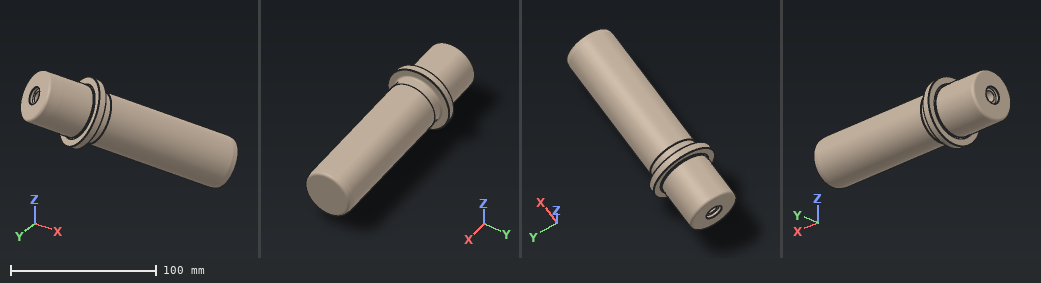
import cadquery as cq
import math

length = 157.0
shaft_radius = 19.2
end_radius = 2.0
lead_length = 10.0
lead_taper = 0.08

flange_start = 36.9
flange_width = 6.0
flange_diameter = 51.0
flange_radius = flange_diameter / 2
flange_chamfer = 0.5

undercut_length = 1.0
undercut_slope_length = 0.5
undercut_depth = 0.4
undercut_face_depth = 0.3
undercut_face_radius = 20.1

neck_radius = 18.7
neck_end = 51.2
neck_taper_length = 0.5
neck_fillet = 1.7

tip_length = 5.2
tip_radius = 18.7
tip_rounding = 2.4

recess_radius = 6.6
recess_chamfer = 0.5
recess_depth = 2.7
bore_radius = 4.1
bore_depth = 15.7
drill_point_angle = 120.0


def make_shaft():
    """Revolve the stepped outer profile about the X axis."""
    lead_radius = shaft_radius - lead_taper
    flange_end = flange_start + flange_width
    undercut_start = flange_start - undercut_length
    undercut_radius = shaft_radius - undercut_depth
    undercut_end = flange_start + undercut_face_depth
    tip_start = length - tip_length
    diagonal = math.sqrt(0.5)
    profile = (
        cq.Workplane("XY")
        .lineTo(0, lead_radius - end_radius)
        .threePointArc(
            (end_radius * (1 - diagonal), lead_radius - end_radius * (1 - diagonal)),
            (end_radius, lead_radius),
        )
        .lineTo(lead_length, shaft_radius)
        .lineTo(undercut_start, shaft_radius)
        .lineTo(undercut_start + undercut_slope_length, undercut_radius)
        .lineTo(undercut_end, undercut_radius)
        .lineTo(undercut_end, undercut_face_radius - undercut_face_depth)
        .lineTo(flange_start, undercut_face_radius)
        .lineTo(flange_start, flange_radius - flange_chamfer)
        .lineTo(flange_start + flange_chamfer, flange_radius)
        .lineTo(flange_end - flange_chamfer, flange_radius)
        .lineTo(flange_end, flange_radius - flange_chamfer)
        .lineTo(flange_end, neck_radius + neck_fillet)
        .threePointArc(
            (flange_end + neck_fillet * (1 - diagonal), neck_radius + neck_fillet * (1 - diagonal)),
            (flange_end + neck_fillet, neck_radius),
        )
        .lineTo(neck_end - neck_taper_length, neck_radius)
        .lineTo(neck_end, shaft_radius)
        .lineTo(tip_start, shaft_radius)
        .lineTo(length - tip_rounding, tip_radius)
        .threePointArc(
            (length - tip_rounding * (1 - diagonal), tip_radius - tip_rounding * (1 - diagonal)),
            (length, tip_radius - tip_rounding),
        )
        .lineTo(length, 0)
        .close()
    )
    return profile.revolve(360, (0, 0, 0), (1, 0, 0))


def make_centre_bore():
    """Revolve the chamfered recess and the drilled hole with its conical point."""
    point_length = bore_radius / math.tan(math.radians(drill_point_angle / 2))
    profile = (
        cq.Workplane("XY")
        .lineTo(0, recess_radius)
        .lineTo(recess_chamfer, recess_radius - recess_chamfer)
        .lineTo(recess_depth, recess_radius - recess_chamfer)
        .lineTo(recess_depth, bore_radius)
        .lineTo(bore_depth, bore_radius)
        .lineTo(bore_depth + point_length, 0)
        .close()
    )
    return profile.revolve(360, (0, 0, 0), (1, 0, 0))


result = make_shaft().cut(make_centre_bore())